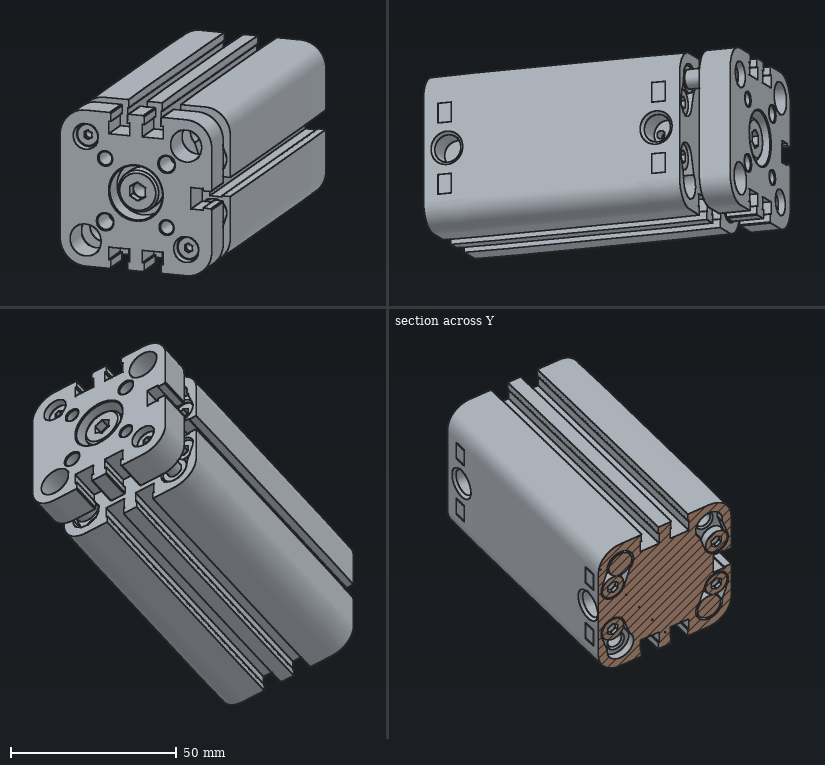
import cadquery as cq
import math

width = 49.0
length = 100.2
corner_radius = 8.2
plate_thickness = 10.0
gap = 6.5
cap_length = 14.0
cap_taper = 0.6

plate_front = -length / 2
plate_back = plate_front + plate_thickness
body_front = plate_back + gap
body_back = length / 2
half_width = width / 2

slot_offset = 5.4
slot_depth = 6.7
slot_lip = 2.8
slot_inner_width = 6.7
body_slot_opening = 6.0
plate_slot_opening = 5.4
plate_lip_chamfer = 0.3

corner_offset = 16.2
large_pin_diameter = 6.0
small_pin_diameter = 4.9
access_hole_diameter = 10.0
corner_bore_diameter = 9.5
corner_bore_depth = 4.8
bushing_diameter = 8.5
bushing_recess = 0.4
through_hole_diameter = 5.0
through_hole_chamfer = 0.6

tie_screw_x = 18.9
tie_screw_z = 8.4
tie_bore_diameter = 8.5
tie_head_diameter = 8.0
tie_head_recess = 1.0
tie_hex_size = 3.5
tie_hex_depth = 2.5

rod_diameter = 12.0
rod_end_fillet = 1.1
rod_flats_width = 10.0
rod_flat_length = 4.5

rod_bore_diameter = 17.0
rod_bore_depth = 6.6
rod_head_diameter = 13.0
rod_head_recess = 1.6
rod_head_chamfer = 0.7
rod_hex_size = 5.0
rod_hex_depth = 3.0
pin_bore_diameter = 8.0
pin_bore_depth = 5.0
pin_head_diameter = 7.5
pin_head_recess = 2.0
pin_head_chamfer = 0.4
pin_hex_size = 2.5
pin_hex_depth = 1.5
rim_chamfer = 0.3

mounting_offset = 9.9
thread_diameter = 4.2
dowel_diameter = 5.0

port_setback = 7.6
port_hole_setback = 9.7
port_diameter = 8.5
port_depth = 9.0
port_chamfer = 1.0
port_hole_diameter = 2.5
port_hole_length = 4.0

label_setback = 6.9
label_offset = 11.1
label_length = 4.3
label_height = 6.1
label_depth = 0.2

corner_signs = [(-1, -1), (-1, 1), (1, -1), (1, 1)]


def plane_at(y, x=0.0, z=0.0):
    """Sketch plane facing +Y, with its local X along -X and local Y along Z."""
    return cq.Workplane(cq.Plane(origin=(x, y, z), xDir=(-1, 0, 0), normal=(0, 1, 0)))


def bar(x, z, y, diameter, depth):
    """Round bar along +Y, starting at y."""
    return plane_at(y, x, z).circle(diameter / 2).extrude(depth)


def flared_hole(x, z, y, diameter, depth, chamfer):
    """Cutter for a hole along +Y with a 45 degree chamfer at its mouth."""
    radius = diameter / 2
    mouth = cq.Solid.makeCone(radius + chamfer, radius, chamfer, cq.Vector(x, y, z), cq.Vector(0, 1, 0))
    return bar(x, z, y, diameter, depth).union(cq.Workplane(mouth))


def rounded_block(y, depth, taper=0.0):
    """Square bar with rounded corners; a negative depth runs towards -Y."""
    outline = cq.Sketch().rect(width, width).vertices().fillet(corner_radius)
    return plane_at(y).placeSketch(outline).extrude(depth, taper=taper)


def slot_cutter(y, depth, opening, lip_chamfer=0.0):
    """T-slot open to the top face, centred on X = 0."""
    half_opening = opening / 2
    half_inner = slot_inner_width / 2
    lip_bottom = half_width - slot_lip
    floor = half_width - slot_depth
    right_side = [(half_inner, floor), (half_inner, lip_bottom), (half_opening, lip_bottom)]
    if lip_chamfer:
        right_side.append((half_opening, half_width - lip_chamfer))
    right_side.append((half_opening + lip_chamfer, half_width))
    left_side = [(-x, z) for x, z in reversed(right_side)]
    return plane_at(y).polyline(right_side + left_side).close().extrude(depth)


def cut_slots(block, y, depth, opening, lip_chamfer=0.0):
    """Cut the two top, two bottom and one +X slots along a block."""
    cutter = slot_cutter(y, depth, opening, lip_chamfer)
    for turn in (0, 180):
        turned = cutter.rotate((0, 0, 0), (0, 1, 0), turn)
        for side in (-1, 1):
            block = block.cut(turned.translate((side * slot_offset, 0, 0)))
    return block.cut(cutter.rotate((0, 0, 0), (0, 1, 0), 90))


def hex_socket(x, z, y, across_flats, depth):
    """Cutter for a hexagon socket with corners up and down and a drill-point floor."""
    across_corners = across_flats / math.cos(math.pi / 6)
    hexagon = plane_at(y, x, z).transformed(rotate=(0, 0, 90)).polygon(6, across_corners).extrude(depth)
    point = cq.Solid.makeCone(
        across_flats / 2, 0, across_flats / 4, cq.Vector(x, y + depth, z), cq.Vector(0, 1, 0)
    )
    return hexagon.union(cq.Workplane(point))


def screw_head(x, z, top, bottom, diameter, chamfer, hex_size, hex_depth):
    """Chamfered socket head, from its free face at top to its seat at bottom."""
    head = bar(x, z, top, diameter, bottom - top).faces("<Y").chamfer(chamfer)
    return head.cut(hex_socket(x, z, top, hex_size, hex_depth))


def make_body():
    """Profile tube with a tapered cap at each end, slotted over its full length."""
    seam_front = body_front + cap_length
    seam_back = body_back - cap_length
    body = rounded_block(seam_front, seam_back - seam_front)
    body = body.union(rounded_block(seam_front, -cap_length, cap_taper), clean=False)
    body = body.union(rounded_block(seam_back, cap_length, cap_taper), clean=False)
    return cut_slots(body, body_front, body_back - body_front, body_slot_opening)


def cut_ports(body):
    """Ports and label fields, with the setbacks measured from each end of the body."""
    for end, inward in ((body_front, 1), (body_back, -1)):
        face = cq.Workplane("YZ", origin=(-half_width, end, 0))
        port = face.center(inward * port_setback, 0).circle(port_diameter / 2).extrude(port_depth)
        cone = cq.Solid.makeCone(
            port_diameter / 2 + port_chamfer,
            port_diameter / 2,
            port_chamfer,
            cq.Vector(-half_width, end + inward * port_setback, 0),
            cq.Vector(1, 0, 0),
        )
        air_hole = (
            face.workplane(offset=port_depth)
            .center(inward * port_hole_setback, 0)
            .circle(port_hole_diameter / 2)
            .extrude(port_hole_length)
        )
        label_centres = [(inward * label_setback, side * label_offset) for side in (-1, 1)]
        labels = face.pushPoints(label_centres).rect(label_length, label_height).extrude(label_depth)
        body = body.cut(port).cut(cq.Workplane(cone)).cut(air_hole).cut(labels)
    return body


def tie_recess(side_x, side_z):
    """Round-ended slot from a tie screw to the nearest corner bore."""
    run_x = side_x * (corner_offset - tie_screw_x)
    run_z = side_z * (corner_offset - tie_screw_z)
    middle_x = side_x * (corner_offset + tie_screw_x) / 2
    middle_z = side_z * (corner_offset + tie_screw_z) / 2
    slot_length = math.hypot(run_x, run_z) + tie_bore_diameter
    slot_angle = math.degrees(math.atan2(run_z, -run_x))
    return (
        plane_at(body_front, middle_x, middle_z)
        .slot2D(slot_length, tie_bore_diameter, slot_angle)
        .extrude(corner_bore_depth)
    )


def add_front_cap_details(body):
    """Corner bores with bushings or through holes, and the tie screws."""
    for side_x, side_z in corner_signs:
        corner_x = side_x * corner_offset
        corner_z = side_z * corner_offset
        body = body.cut(bar(corner_x, corner_z, body_front, corner_bore_diameter, corner_bore_depth))
        body = body.cut(tie_recess(side_x, side_z))
    bore_floor = body_front + corner_bore_depth
    bushing_face = body_front + bushing_recess
    for side in (-1, 1):
        corner = side * corner_offset
        body = body.union(bar(corner, -corner, bushing_face, bushing_diameter, bore_floor - bushing_face))
        through_length = body_back - bore_floor
        body = body.cut(
            flared_hole(
                corner, corner, bore_floor, through_hole_diameter, through_length, through_hole_chamfer
            )
        )
    head_face = body_front + tie_head_recess
    for side_x, side_z in corner_signs:
        screw_x = side_x * tie_screw_x
        screw_z = side_z * tie_screw_z
        body = body.union(bar(screw_x, screw_z, head_face, tie_head_diameter, bore_floor - head_face))
        body = body.cut(hex_socket(screw_x, screw_z, head_face, tie_hex_size, tie_hex_depth))
    return body


def make_plate():
    """Front plate with its screws, access holes and mounting holes."""
    plate = rounded_block(plate_front, plate_thickness)
    plate = cut_slots(plate, plate_front, plate_thickness, plate_slot_opening, plate_lip_chamfer)
    plate = plate.cut(flared_hole(0, 0, plate_front, rod_bore_diameter, rod_bore_depth, rim_chamfer))
    plate = plate.union(
        screw_head(0, 0, plate_front + rod_head_recess, plate_front + rod_bore_depth,
                   rod_head_diameter, rod_head_chamfer, rod_hex_size, rod_hex_depth)
    )
    for side in (-1, 1):
        pin_x = side * corner_offset
        pin_z = -pin_x
        plate = plate.cut(bar(pin_x, pin_z, plate_front, pin_bore_diameter, pin_bore_depth))
        plate = plate.union(
            screw_head(pin_x, pin_z, plate_front + pin_head_recess, plate_front + pin_bore_depth,
                       pin_head_diameter, pin_head_chamfer, pin_hex_size, pin_hex_depth)
        )
        plate = plate.cut(bar(pin_x, pin_x, plate_front, access_hole_diameter, plate_thickness))
        hole_x = side * mounting_offset
        for hole_z, diameter in ((-hole_x, thread_diameter), (hole_x, dowel_diameter)):
            plate = plate.cut(
                flared_hole(hole_x, hole_z, plate_front, diameter, plate_thickness, rim_chamfer)
            )
    return plate


def make_piston_rod():
    """Rod with a rounded end and two wrench flats that run out at 45 degrees."""
    radius = rod_diameter / 2
    piston_rod = bar(0, 0, plate_back, rod_diameter, gap)
    piston_rod = piston_rod.faces("<Y").fillet(rod_end_fillet)
    flat_x = rod_flats_width / 2
    flat_end = plate_back + rod_flat_length
    flat_cutter = (
        cq.Workplane("XY")
        .moveTo(flat_x, plate_back)
        .lineTo(flat_x, flat_end)
        .lineTo(radius, flat_end + radius - flat_x)
        .lineTo(radius, plate_back)
        .close()
        .extrude(radius, both=True)
    )
    return piston_rod.cut(flat_cutter).cut(flat_cutter.mirror("YZ"))


result = add_front_cap_details(cut_ports(make_body()))
result = result.union(make_piston_rod())
pin_length = gap + corner_bore_depth
result = result.union(bar(-corner_offset, corner_offset, plate_back, large_pin_diameter, pin_length))
result = result.union(bar(corner_offset, -corner_offset, plate_back, small_pin_diameter, pin_length))
result = result.union(make_plate(), clean=False)